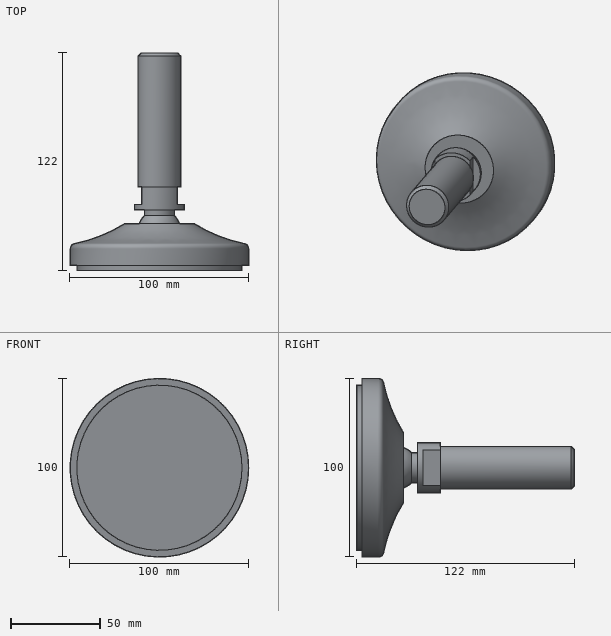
import cadquery as cq
import math

total_length = 122.0

sole_diameter = 92.5
sole_height = 3.0
pad_diameter = 100.0
shoulder_height = 12.2
rim_radius = 3.0
rim_end_slope = 11.5
pad_top_diameter = 39.0
pad_height = 26.4

neck_diameter = 17.0
neck_start = 30.9
ball_diameter = 24.0

collar_diameter = 28.0
collar_start = 34.0
collar_end = 47.0
flats_start = 37.1
flats_width = 20.0

stud_diameter = 24.0
stud_chamfer = 1.8


def cylinder(diameter, start, end):
    """Cylinder along the Y axis between two positions."""
    return cq.Workplane("XZ", origin=(0, start, 0)).circle(diameter / 2).extrude(start - end)


def make_pad():
    """Revolved pad with a rounded rim running tangentially into a concave flank."""
    pad_radius = pad_diameter / 2
    rim_center_radius = pad_radius - rim_radius

    def rim_point(slope):
        angle = math.radians(slope)
        return (
            rim_center_radius + rim_radius * math.sin(angle),
            shoulder_height + rim_radius * math.cos(angle),
        )

    rim_middle_slope = (90 + rim_end_slope) / 2
    profile = (
        cq.Workplane("XY")
        .lineTo(sole_diameter / 2, 0)
        .lineTo(sole_diameter / 2, sole_height)
        .lineTo(pad_radius, sole_height)
        .lineTo(pad_radius, shoulder_height)
        .threePointArc(rim_point(rim_middle_slope), rim_point(rim_end_slope))
        .tangentArcPoint((pad_top_diameter / 2, pad_height), relative=False)
        .lineTo(0, pad_height)
        .close()
    )
    return profile.revolve(360, (0, 0), (0, 1))


def make_ball_joint():
    """Ball seated in the pad, with the neck that joins it to the collar."""
    center_to_neck = math.sqrt(ball_diameter**2 - neck_diameter**2) / 2
    ball_center = neck_start - center_to_neck
    ball = cq.Workplane("XY").sphere(ball_diameter / 2).translate((0, ball_center, 0))
    return ball.union(cylinder(neck_diameter, ball_center, collar_start))


def make_collar():
    """Round collar with two wrench flats facing -X and +X."""
    collar = cylinder(collar_diameter, collar_start, collar_end)
    flats_length = collar_end - flats_start
    flats_middle = (collar_end + flats_start) / 2
    between_flats = (
        cq.Workplane("XY")
        .box(flats_width, flats_length, collar_diameter)
        .translate((0, flats_middle, 0))
    )
    flange = cylinder(collar_diameter, collar_start, flats_start)
    return collar.intersect(between_flats).union(flange)


def make_stud():
    """Plain stud with a chamfered free end."""
    return cylinder(stud_diameter, collar_end, total_length).faces(">Y").chamfer(stud_chamfer)


result = make_pad().union(make_ball_joint()).union(make_collar()).union(make_stud())